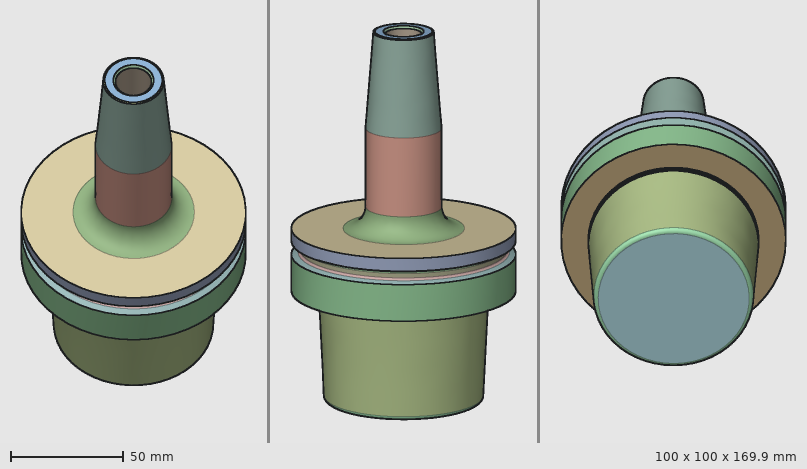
import cadquery as cq
import math


SHANK_LENGTH = 50.0
FLANGE_HEIGHT = 29.0
NOSE_TOP_Z = 119.9

SHANK_TOP_RADIUS = 38.0
SHANK_TAPER = 1 / 20
SHANK_END_FILLET = 2.0
RELIEF_TOP_Z = -0.8
RELIEF_BOTTOM_Z = -2.5
RELIEF_DEPTH = 0.3

FLANGE_RADIUS = 50.0
GROOVE_CENTER_Z = 20.0
GROOVE_FLOOR_RADIUS = 46.0
GROOVE_FLOOR_WIDTH = 2.0
GROOVE_CORNER_RADIUS = 1.05
GROOVE_MOUTH_WIDTH = 6.2

NECK_RADIUS = 17.0
NECK_FILLET = 10.0
NOSE_TIP_RADIUS = 13.5
NOSE_TAPER_ANGLE = 4.5
NOSE_CHAMFER_WIDTH = 0.75
NOSE_CHAMFER_HEIGHT = 0.35

BORE_RADIUS = 8.0
BORE_DEPTH = 52.0
BORE_CHAMFER = 1.0


def revolve_about_z(profile):
    """Turn a closed (radius, z) profile about the Z axis."""
    return profile.close().revolve(360, (0, 0, 0), (0, 1, 0))


def quarter_arc_offset(radius):
    """Distance from each of a quarter arc's two end tangents to the middle of the arc."""
    return radius * (1 - math.sqrt(0.5))


def shank_radius(z):
    """Radius of the shank cone at height z (z is negative below the flange)."""
    return SHANK_TOP_RADIUS + SHANK_TAPER * z


def make_shank():
    cone = revolve_about_z(
        cq.Workplane("YZ")
        .lineTo(shank_radius(0), 0)
        .lineTo(shank_radius(-SHANK_LENGTH), -SHANK_LENGTH)
        .lineTo(0, -SHANK_LENGTH)
    )
    return cone.faces("<Z").edges().fillet(SHANK_END_FILLET)


def make_shank_relief():
    """Shallow bevelled ring that undercuts the shank just below the seating face."""
    top_radius = shank_radius(RELIEF_TOP_Z)
    bottom_radius = shank_radius(RELIEF_BOTTOM_Z)
    floor_radius = bottom_radius - RELIEF_DEPTH
    return revolve_about_z(
        cq.Workplane("YZ")
        .moveTo(FLANGE_RADIUS, RELIEF_TOP_Z)
        .lineTo(top_radius, RELIEF_TOP_Z)
        .lineTo(floor_radius, RELIEF_TOP_Z - RELIEF_DEPTH)
        .lineTo(floor_radius, RELIEF_BOTTOM_Z + RELIEF_DEPTH)
        .lineTo(bottom_radius, RELIEF_BOTTOM_Z)
        .lineTo(FLANGE_RADIUS, RELIEF_BOTTOM_Z)
    )


def make_flange():
    return cq.Workplane("XY").circle(FLANGE_RADIUS).extrude(FLANGE_HEIGHT)


def make_gripper_groove():
    """Ring cut from the flange rim: flat floor, rounded corners and flared lips."""
    mouth = GROOVE_MOUTH_WIDTH / 2
    floor = GROOVE_FLOOR_WIDTH / 2
    lip = floor + GROOVE_CORNER_RADIUS
    lip_radius = GROOVE_FLOOR_RADIUS + GROOVE_CORNER_RADIUS
    arc_offset = quarter_arc_offset(GROOVE_CORNER_RADIUS)
    arc_middle_radius = GROOVE_FLOOR_RADIUS + arc_offset
    arc_middle = floor + GROOVE_CORNER_RADIUS - arc_offset
    return revolve_about_z(
        cq.Workplane("YZ")
        .moveTo(FLANGE_RADIUS, GROOVE_CENTER_Z + mouth)
        .lineTo(lip_radius, GROOVE_CENTER_Z + lip)
        .threePointArc(
            (arc_middle_radius, GROOVE_CENTER_Z + arc_middle),
            (GROOVE_FLOOR_RADIUS, GROOVE_CENTER_Z + floor),
        )
        .lineTo(GROOVE_FLOOR_RADIUS, GROOVE_CENTER_Z - floor)
        .threePointArc(
            (arc_middle_radius, GROOVE_CENTER_Z - arc_middle),
            (lip_radius, GROOVE_CENTER_Z - lip),
        )
        .lineTo(FLANGE_RADIUS, GROOVE_CENTER_Z - mouth)
    )


def make_nose():
    """Flared foot, straight neck and tapered tip with a chamfered end."""
    taper_slope = math.tan(math.radians(NOSE_TAPER_ANGLE))
    taper_length = (NECK_RADIUS - NOSE_TIP_RADIUS) / taper_slope
    taper_end_radius = NOSE_TIP_RADIUS + NOSE_CHAMFER_HEIGHT * taper_slope
    arc_offset = quarter_arc_offset(NECK_FILLET)
    return revolve_about_z(
        cq.Workplane("YZ")
        .moveTo(0, FLANGE_HEIGHT)
        .lineTo(NECK_RADIUS + NECK_FILLET, FLANGE_HEIGHT)
        .threePointArc(
            (NECK_RADIUS + arc_offset, FLANGE_HEIGHT + arc_offset),
            (NECK_RADIUS, FLANGE_HEIGHT + NECK_FILLET),
        )
        .lineTo(NECK_RADIUS, NOSE_TOP_Z - taper_length)
        .lineTo(taper_end_radius, NOSE_TOP_Z - NOSE_CHAMFER_HEIGHT)
        .lineTo(taper_end_radius - NOSE_CHAMFER_WIDTH, NOSE_TOP_Z)
        .lineTo(0, NOSE_TOP_Z)
    )


def make_bore():
    """Blind tool bore with a chamfered mouth."""
    return revolve_about_z(
        cq.Workplane("YZ")
        .moveTo(0, NOSE_TOP_Z)
        .lineTo(BORE_RADIUS + BORE_CHAMFER, NOSE_TOP_Z)
        .lineTo(BORE_RADIUS, NOSE_TOP_Z - BORE_CHAMFER)
        .lineTo(BORE_RADIUS, NOSE_TOP_Z - BORE_DEPTH)
        .lineTo(0, NOSE_TOP_Z - BORE_DEPTH)
    )


shank = make_shank().cut(make_shank_relief())
flange = make_flange().cut(make_gripper_groove())
result = shank.union(flange).union(make_nose()).cut(make_bore())